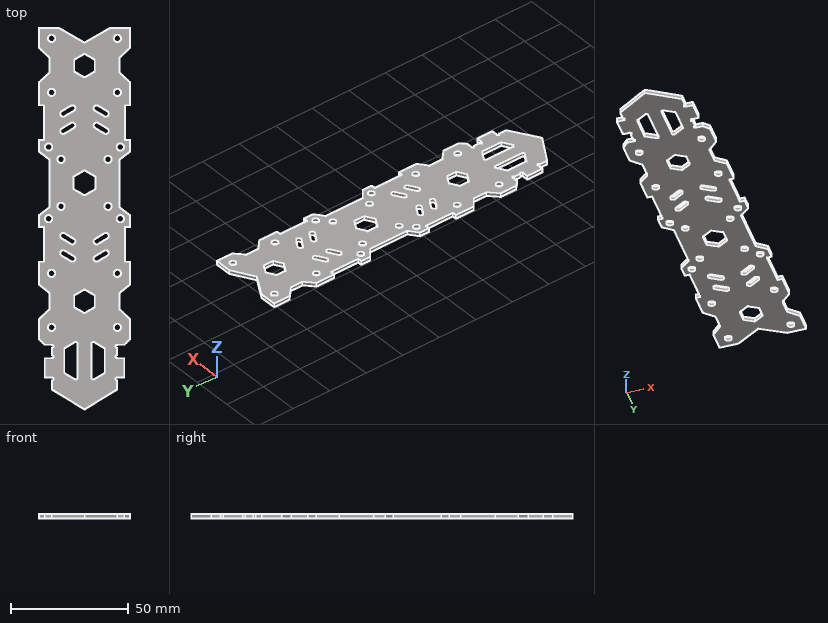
import cadquery as cq
import math

thickness = 2.0
half_width = 19.4
front_y = 66.0
tail_tip_y = -96.5

waist_half_width = 15.0
notch_half_width = 17.3
middle_waist_end_y = 10.15
middle_lobe_y = 13.55
notch_inner_y = 18.55
notch_outer_y = 33.25
lobe_inner_y = 43.05
front_waist_inner_y = 47.15
rear_waist_inner_y = 46.6
waist_outer_y = 53.55
lobe_outer_y = 57.75

cutout_offset_y = -0.25

vee_half_width = 10.9
vee_angle = 30.0

shoulder_y = -69.0
shoulder_chamfer = 2.5
neck_half_width = 13.9
tab_half_width = 17.0
tab_front_y = -74.55
tab_rear_y = -82.9
tip_start_y = -87.95
relief_radius = 0.55
relief_inset = 0.15

hole_diameter = 3.0
small_stack_pitch = 20.0
large_stack_pitch = 30.5
arm_center_y = 50.0
arm_hole_pitch_x = 28.0
arm_hole_pitch_y = 23.0

middle_hex_diameter = 10.6
arm_hex_diameter = 10.0
arm_hex_y = 50.15

slot_center_x = 7.1
slot_inner_y = 23.5
slot_pitch_y = 7.35
slot_length = 7.0
slot_width = 2.4
slot_angle = 31.0

window_inner_x = 3.0
window_outer_x = 8.6
window_center_y = -75.7
window_outer_height = 10.4
window_angle = 30.5
window_fillet = 0.7


def rise(run, angle):
    return run * math.tan(math.radians(angle))


def side_profile(end, waist_inner_y):
    """Right-hand edge from the outer lobe inwards, for the front (1) or rear (-1) half."""
    profile = [
        (half_width, lobe_outer_y),
        (waist_half_width, waist_outer_y),
        (waist_half_width, waist_inner_y),
        (half_width, lobe_inner_y),
        (half_width, notch_outer_y),
        (notch_half_width, notch_outer_y),
        (notch_half_width, notch_inner_y),
        (half_width, notch_inner_y),
        (half_width, middle_lobe_y),
        (waist_half_width, middle_waist_end_y),
    ]
    return [(x, cutout_offset_y + end * y) for x, y in profile]


def make_plate():
    right_side = [
        (0, front_y - rise(vee_half_width, vee_angle)),
        (vee_half_width, front_y),
        (half_width, front_y),
        *side_profile(1, front_waist_inner_y),
        *reversed(side_profile(-1, rear_waist_inner_y)),
        (half_width, shoulder_y + shoulder_chamfer),
        (half_width - shoulder_chamfer, shoulder_y),
        (neck_half_width, shoulder_y),
        (neck_half_width, tab_front_y),
        (tab_half_width, tab_front_y),
        (tab_half_width, tab_rear_y),
        (neck_half_width, tab_rear_y),
        (neck_half_width, tip_start_y),
        (0, tail_tip_y),
    ]
    half = cq.Workplane("XY").polyline(right_side).close().extrude(thickness)
    return half.union(half.mirror("YZ")).clean()


def make_round_holes():
    points = []
    for pitch in (small_stack_pitch, large_stack_pitch):
        points += [(sx * pitch / 2, sy * pitch / 2) for sx in (-1, 1) for sy in (-1, 1)]
    for center_y in (-arm_center_y, arm_center_y):
        for sx in (-1, 1):
            for sy in (-1, 1):
                points.append((sx * arm_hole_pitch_x / 2, center_y + sy * arm_hole_pitch_y / 2))
    return cq.Workplane("XY").pushPoints(points).circle(hole_diameter / 2).extrude(thickness)


def make_hex_hole(center_y, diameter):
    hexagon = cq.Workplane("XY").polygon(6, diameter).extrude(thickness)
    return hexagon.rotate((0, 0, 0), (0, 0, 1), 90).translate((0, center_y, 0))


def make_slots():
    slots = cq.Workplane("XY")
    for sx in (-1, 1):
        for sy in (-1, 1):
            for y in (slot_inner_y, slot_inner_y + slot_pitch_y):
                slot = (
                    cq.Workplane("XY")
                    .center(sx * slot_center_x, cutout_offset_y + sy * y)
                    .transformed(rotate=(0, 0, -sx * sy * slot_angle))
                    .slot2D(slot_length, slot_width)
                    .extrude(thickness)
                )
                slots = slots.add(slot)
    return slots.combine()


def make_windows():
    outer_half = window_outer_height / 2
    inner_half = outer_half + rise(window_outer_x - window_inner_x, window_angle)
    window = (
        cq.Workplane("XY")
        .polyline([
            (window_inner_x, window_center_y + inner_half),
            (window_outer_x, window_center_y + outer_half),
            (window_outer_x, window_center_y - outer_half),
            (window_inner_x, window_center_y - inner_half),
        ])
        .close()
        .extrude(thickness)
        .edges("|Z and <X")
        .fillet(window_fillet)
    )
    return window.union(window.mirror("YZ"))


def make_corner_reliefs():
    relief_x = neck_half_width - relief_inset
    relief_ys = (
        shoulder_y - relief_radius,
        tab_front_y + relief_radius,
        tab_rear_y - relief_radius,
    )
    points = [(sx * relief_x, y) for sx in (-1, 1) for y in relief_ys]
    return cq.Workplane("XY").pushPoints(points).circle(relief_radius).extrude(thickness)


result = (
    make_plate()
    .cut(make_round_holes())
    .cut(make_hex_hole(0, middle_hex_diameter))
    .cut(make_hex_hole(cutout_offset_y + arm_hex_y, arm_hex_diameter))
    .cut(make_hex_hole(cutout_offset_y - arm_hex_y, arm_hex_diameter))
    .cut(make_slots())
    .cut(make_windows())
    .cut(make_corner_reliefs())
)